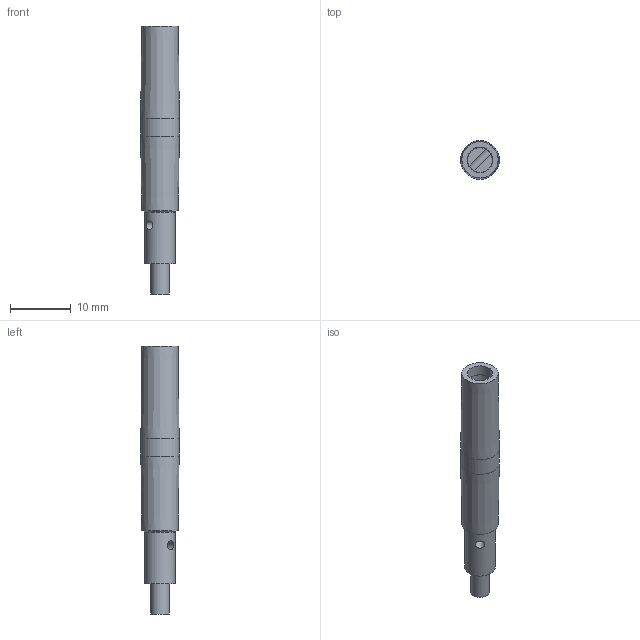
import cadquery as cq
import math

pin_length = 5.0
shank_length = 8.5
neck_height = 0.3
total_length = 44.3
band_bottom = 26.1
band_height = 2.95
shank_top = pin_length + shank_length
sleeve_bottom = shank_top + neck_height
band_top = band_bottom + band_height

pin_diameter = 3.0
shank_diameter = 5.0
neck_diameter = shank_diameter + 2 * neck_height
sleeve_end_diameter = 6.0
band_diameter = 6.4

bore_diameter = 4.1
bore_floor = sleeve_bottom
mouth_diameter = 4.2
mouth_depth = 1.8

cross_angle = 45.0
cross_hole_diameter = 1.5
cross_hole_height = 11.35
groove_width = 1.15
groove_radius = 0.75


def make_body():
    """Turned outside: pin, shank, flared neck and a sleeve tapering away from a straight band."""
    profile = (
        cq.Workplane("XZ")
        .lineTo(pin_diameter / 2, 0)
        .lineTo(pin_diameter / 2, pin_length)
        .lineTo(shank_diameter / 2, pin_length)
        .lineTo(shank_diameter / 2, shank_top)
        .lineTo(neck_diameter / 2, sleeve_bottom)
        .lineTo(sleeve_end_diameter / 2, sleeve_bottom)
        .lineTo(band_diameter / 2, band_bottom)
        .lineTo(band_diameter / 2, band_top)
        .lineTo(sleeve_end_diameter / 2, total_length)
        .lineTo(0, total_length)
        .close()
    )
    return profile.revolve(360, (0, 0, 0), (0, 1, 0))


def upright_cylinder(diameter, bottom, top):
    """Cylinder on the part's axis between two heights."""
    return cq.Workplane("XY").workplane(offset=bottom).circle(diameter / 2).extrude(top - bottom)


def cross_cylinder(radius, height, length):
    """Level cylinder through the part's axis at the given height, lying in the cross direction."""
    return (
        cq.Workplane("YZ")
        .workplane(offset=-length / 2)
        .center(0, height)
        .circle(radius)
        .extrude(length)
        .rotate((0, 0, 0), (0, 0, 1), cross_angle)
    )


def make_bore():
    """Blind bore together with its wider mouth."""
    bore = upright_cylinder(bore_diameter, bore_floor, total_length)
    mouth = upright_cylinder(mouth_diameter, total_length - mouth_depth, total_length)
    return bore.union(mouth)


def make_cross_hole():
    """Round hole right through the shank."""
    return cross_cylinder(cross_hole_diameter / 2, cross_hole_height, 2 * shank_diameter)


def make_floor_groove():
    """Shallow groove across the bore floor, ending at the bore wall."""
    axis_height = bore_floor + math.sqrt(groove_radius**2 - (groove_width / 2) ** 2)
    cutter = cross_cylinder(groove_radius, axis_height, 2 * bore_diameter)
    bore_zone = upright_cylinder(bore_diameter, axis_height - groove_radius, axis_height + groove_radius)
    return cutter.intersect(bore_zone)


result = (
    make_body()
    .cut(make_bore())
    .cut(make_floor_groove())
    .cut(make_cross_hole())
)